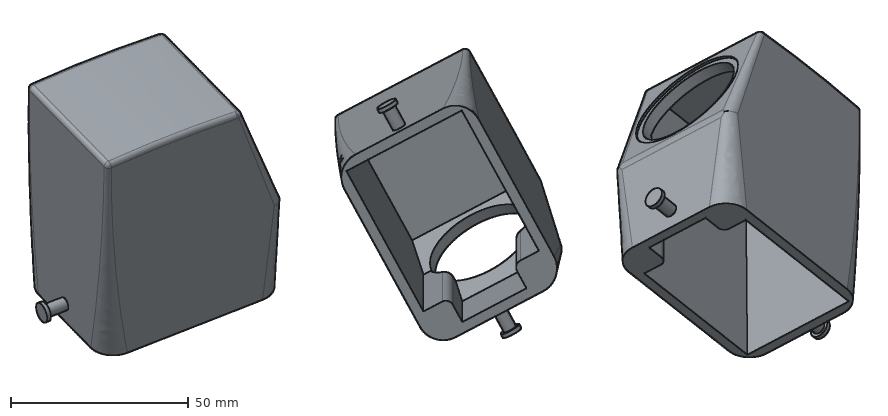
import cadquery as cq
import math

width = 43.0
height = 71.9
base_half_depth = 29.9
front_top_y = -29.2

knee_y = 29.6
knee_z = 32.85
knee_radius = 9.0
slope_angle = 20.0
roof_edge_z = 71.2
roof_edge_radius = 1.5

base_corner_radius = 7.5
mid_corner_radius = 3.2
top_corner_radius = 1.5
cut_margin = 0.75

wall = 3.0
slope_wall = 4.2
pillar_inner_x = 10.3
pillar_front_y = 19.05
pillar_round = 2.25

entry_y = 22.65
entry_radius = 16.0
recess_radius = 17.9
recess_depth = 0.7
entry_depth = 12.0

pin_span = 75.0
pin_z = 6.2
pin_diameter = 4.0
pin_head_diameter = 6.0
pin_head_thickness = 1.3
pin_embed = 0.75

half_width = width / 2
slope = math.radians(slope_angle)


def slope_y(z):
    return knee_y - (z - knee_z) * math.tan(slope)


def front_y(z):
    return -base_half_depth + (front_top_y + base_half_depth) * z / roof_edge_z


def make_block():
    """Side profile extruded across the full width, with the knee blended."""
    roof_back_y = slope_y(roof_edge_z)
    profile = (
        cq.Workplane("YZ")
        .moveTo(-base_half_depth, 0)
        .lineTo(base_half_depth, 0)
        .lineTo(knee_y, knee_z)
        .lineTo(roof_back_y, roof_edge_z)
        .threePointArc(((roof_back_y + front_top_y) / 2, height), (front_top_y, roof_edge_z))
        .close()
    )
    block = profile.extrude(half_width, both=True)
    knee = cq.selectors.NearestToPointSelector((0, knee_y, knee_z))
    return block.edges(knee).fillet(knee_radius)


def corner_section(y, z, radius, outward):
    """Waste outside a rounded +X corner; outward is the Y sign of the face."""
    tangent_y = y - outward * radius
    tangent_x = half_width - radius
    outer_y = y + outward * cut_margin
    outer_x = half_width + cut_margin
    arc_inset = radius * (1 - math.sqrt(0.5))
    return (
        cq.Workplane("XY", origin=(0, 0, z))
        .moveTo(tangent_x, y)
        .lineTo(tangent_x, outer_y)
        .lineTo(outer_x, outer_y)
        .lineTo(outer_x, tangent_y)
        .lineTo(half_width, tangent_y)
        .threePointArc((half_width - arc_inset, y - outward * arc_inset), (tangent_x, y))
        .close()
        .val()
    )


def round_corners(block):
    front = [
        corner_section(front_y(z), z, radius, -1)
        for z, radius in (
            (0, base_corner_radius),
            (knee_z, mid_corner_radius),
            (height, top_corner_radius),
        )
    ]
    knee_section = corner_section(knee_y, knee_z, mid_corner_radius, 1)
    back_low = [corner_section(base_half_depth, 0, base_corner_radius, 1), knee_section]
    back_high = [knee_section, corner_section(slope_y(height), height, top_corner_radius, 1)]
    cutters = [
        cq.Solid.makeLoft(front, False),
        cq.Solid.makeLoft(back_low, True),
        cq.Solid.makeLoft(back_high, True),
    ]
    for cutter in cutters:
        block = block.cut(cq.Workplane(cutter))
        block = block.cut(cq.Workplane(cutter.mirror("YZ")))
    return block


def make_cavity():
    inner_half_depth = base_half_depth - wall
    roof_z = roof_edge_z - wall
    slope_shift = slope_wall / math.cos(slope)
    inner_knee_z = knee_z + (knee_y - slope_shift - inner_half_depth) / math.tan(slope)
    cavity = (
        cq.Workplane("YZ")
        .polyline([
            (-inner_half_depth, 0),
            (inner_half_depth, 0),
            (inner_half_depth, inner_knee_z),
            (slope_y(roof_z) - slope_shift, roof_z),
            (front_y(roof_z) + wall, roof_z),
        ])
        .close()
        .extrude(half_width - wall, both=True)
        .edges("|Z")
        .fillet(base_corner_radius - wall)
    )
    pillar_width = half_width - pillar_inner_x
    pillar_depth = base_half_depth - pillar_front_y
    for side in (-1, 1):
        pillar = (
            cq.Workplane("XY")
            .center(side * (pillar_inner_x + pillar_width / 2), pillar_front_y + pillar_depth / 2)
            .rect(pillar_width, pillar_depth)
            .extrude(height)
            .edges("|Z and <Y")
            .edges("<X" if side > 0 else ">X")
            .fillet(pillar_round)
        )
        cavity = cavity.cut(pillar)
    return cavity


def cut_cable_entry(body):
    entry_z = knee_z + (knee_y - entry_y) / math.tan(slope)
    normal = (0, math.cos(slope), math.sin(slope))
    mouth = cq.Workplane(cq.Plane((0, entry_y, entry_z), xDir=(1, 0, 0), normal=normal))
    body = body.cut(mouth.circle(recess_radius).extrude(-recess_depth))
    return body.cut(mouth.circle(entry_radius).extrude(-entry_depth))


def make_pin(side):
    """Headed pin pointing along Y, side being the sign of its direction."""
    tip_y = side * pin_span / 2
    root_y = side * (base_half_depth - pin_embed)
    shaft = (
        cq.Workplane("XZ", origin=(0, root_y, pin_z))
        .circle(pin_diameter / 2)
        .extrude(root_y - tip_y)
    )
    head = (
        cq.Workplane("XZ", origin=(0, tip_y, pin_z))
        .circle(pin_head_diameter / 2)
        .extrude(side * pin_head_thickness)
    )
    return shaft.union(head)


body = round_corners(make_block())
body = body.faces(">Z").edges().fillet(roof_edge_radius)
body = cut_cable_entry(body.cut(make_cavity()))
for pin_side in (-1, 1):
    body = body.union(make_pin(pin_side))
result = body